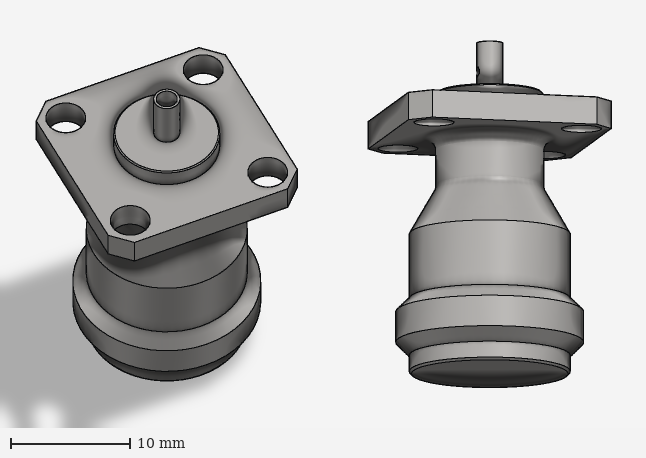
import cadquery as cq
import math

TOTAL_HEIGHT = 28.12
FLANGE_SIDE = 17.5
FLANGE_BOTTOM = 20.0
FLANGE_THICKNESS = 2.33
FLANGE_CORNER_CHAMFER = 1.65
MOUNT_HOLE_DIAMETER = 3.32
MOUNT_HOLE_PITCH = 12.7

SHOULDER_RADIUS = 4.45
SHOULDER_TOP = 23.9
SHOULDER_CHAMFER = 0.1
PIN_RADIUS = 1.1
PIN_BORE_RADIUS = 0.87
PIN_BORE_DEPTH = 3.37
BORE_TIP_ANGLE = 118.0
VENT_DIAMETER = 0.85
VENT_DEPTH = 2.5

BODY_RADIUS = 6.75
BODY_EDGE_CHAMFER = 0.2
RING_RADIUS = 7.87
RING_BOTTOM = 1.55
RING_TOP = 6.38
RING_BEVEL = RING_RADIUS - BODY_RADIUS
NECK_RADIUS = 4.53
NECK_FILLET = 1.0
CONE_BOTTOM = 11.87
CONE_HALF_ANGLE = math.radians(30)


def make_body():
    """Revolve the neck, cone, barrel and bevelled ring about Z."""
    blend_drop = NECK_FILLET * math.sin(CONE_HALF_ANGLE)
    blend_radius = NECK_RADIUS + NECK_FILLET * (1 - math.cos(CONE_HALF_ANGLE))
    blend_bottom = CONE_BOTTOM + (BODY_RADIUS - blend_radius) / math.tan(CONE_HALF_ANGLE)
    blend_top = blend_bottom + blend_drop
    half_angle = CONE_HALF_ANGLE / 2
    blend_middle = (
        NECK_RADIUS + NECK_FILLET * (1 - math.cos(half_angle)),
        blend_top - NECK_FILLET * math.sin(half_angle),
    )
    fillet_middle = (
        NECK_RADIUS + NECK_FILLET * (1 - math.sqrt(0.5)),
        FLANGE_BOTTOM - NECK_FILLET * (1 - math.sqrt(0.5)),
    )
    return (
        cq.Workplane("XZ")
        .moveTo(0, 0)
        .lineTo(BODY_RADIUS - BODY_EDGE_CHAMFER, 0)
        .lineTo(BODY_RADIUS, BODY_EDGE_CHAMFER)
        .lineTo(BODY_RADIUS, RING_BOTTOM)
        .lineTo(RING_RADIUS, RING_BOTTOM + RING_BEVEL)
        .lineTo(RING_RADIUS, RING_TOP - RING_BEVEL)
        .lineTo(BODY_RADIUS, RING_TOP)
        .lineTo(BODY_RADIUS, CONE_BOTTOM)
        .lineTo(blend_radius, blend_bottom)
        .threePointArc(blend_middle, (NECK_RADIUS, blend_top))
        .lineTo(NECK_RADIUS, FLANGE_BOTTOM - NECK_FILLET)
        .threePointArc(fillet_middle, (NECK_RADIUS + NECK_FILLET, FLANGE_BOTTOM))
        .lineTo(0, FLANGE_BOTTOM)
        .close()
        .revolve(360, (0, 0), (0, 1))
    )


def make_flange():
    """Square plate with clipped corners and four through holes."""
    return (
        cq.Workplane("XY", origin=(0, 0, FLANGE_BOTTOM))
        .rect(FLANGE_SIDE, FLANGE_SIDE)
        .extrude(FLANGE_THICKNESS)
        .edges("|Z")
        .chamfer(FLANGE_CORNER_CHAMFER)
        .faces(">Z")
        .workplane()
        .rect(MOUNT_HOLE_PITCH, MOUNT_HOLE_PITCH, forConstruction=True)
        .vertices()
        .hole(MOUNT_HOLE_DIAMETER)
    )


def make_shoulder():
    """Low round step on the flange with a chamfered top edge."""
    flange_top = FLANGE_BOTTOM + FLANGE_THICKNESS
    return (
        cq.Workplane("XY", origin=(0, 0, flange_top))
        .circle(SHOULDER_RADIUS)
        .extrude(SHOULDER_TOP - flange_top)
        .faces(">Z")
        .edges()
        .chamfer(SHOULDER_CHAMFER)
    )


def make_pin():
    """Centre pin standing on the shoulder."""
    return (
        cq.Workplane("XY", origin=(0, 0, SHOULDER_TOP))
        .circle(PIN_RADIUS)
        .extrude(TOTAL_HEIGHT - SHOULDER_TOP)
    )


def make_pin_bore():
    """Blind bore with a conical drill tip, open at the top of the pin."""
    bore_floor = TOTAL_HEIGHT - PIN_BORE_DEPTH
    tip_depth = PIN_BORE_RADIUS / math.tan(math.radians(BORE_TIP_ANGLE / 2))
    return (
        cq.Workplane("XZ")
        .moveTo(0, bore_floor - tip_depth)
        .lineTo(PIN_BORE_RADIUS, bore_floor)
        .lineTo(PIN_BORE_RADIUS, TOTAL_HEIGHT)
        .lineTo(0, TOTAL_HEIGHT)
        .close()
        .revolve(360, (0, 0), (0, 1))
    )


def make_vent():
    """Small cross hole through the +Y wall of the pin into its bore."""
    return (
        cq.Workplane("XZ", origin=(0, 0, TOTAL_HEIGHT - VENT_DEPTH))
        .circle(VENT_DIAMETER / 2)
        .extrude(-2 * PIN_RADIUS)
    )


result = (
    make_body()
    .union(make_flange())
    .union(make_shoulder())
    .union(make_pin())
    .cut(make_pin_bore())
    .cut(make_vent())
)